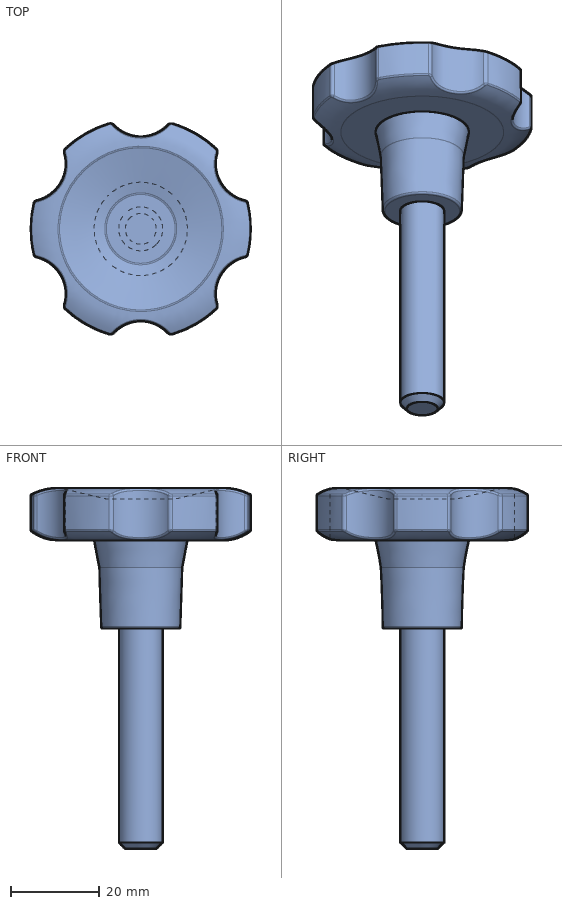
import cadquery as cq
import math


full_turn = 360.0

stud_diameter = 10.0
stud_length = 50.0
stud_chamfer = 1.5

hub_height = 20.0
hub_bottom_radius = 9.0
hub_waist_radius = 9.45
hub_top_radius = 10.6
hub_waist_z = 13.9
hub_bottom_fillet = 0.5

head_diameter = 50.0
head_height = 12.0
crown_top_radius = 13.0
crown_bottom_radius = 10.5
crown_bottom_start = 18.5
head_edge_fillet = 0.5

lobe_count = 6
scallop_radius = 8.5
scallop_floor_distance = 21.0
scallop_corner_fillet = 1.0
first_scallop_angle = full_turn / lobe_count / 2

dish_rim_radius = 18.6
dish_floor_radius = 8.0
dish_depth = 2.5
dish_blend_radius = 1.5

head_radius = head_diameter / 2
head_bottom_z = hub_height
head_top_z = hub_height + head_height


def crown_drop(crown_radius, run):
    """Axial drop of a crown arc, tangent to a flat face, after a radial run."""
    return crown_radius - math.sqrt(crown_radius**2 - run**2)


def revolve_about_z(profile):
    """Full turn of a closed radius-height profile about the Z axis."""
    return profile.close().revolve(full_turn, (0, 0, 0), (0, 1, 0))


def make_head_blank():
    """Round head with a crowned underside, a crowned top and a conical dish."""
    dish_floor_z = head_top_z - dish_depth
    dish_slope = math.atan2(dish_depth, dish_rim_radius - dish_floor_radius)
    blend_length = dish_blend_radius * math.tan(dish_slope / 2)
    blend_run = blend_length * math.cos(dish_slope)
    blend_rise = blend_length * math.sin(dish_slope)

    crown_top_start = dish_rim_radius + blend_length
    top_run = head_radius - crown_top_start
    bottom_run = head_radius - crown_bottom_start
    top_edge_z = head_top_z - crown_drop(crown_top_radius, top_run)
    bottom_edge_z = head_bottom_z + crown_drop(crown_bottom_radius, bottom_run)

    return revolve_about_z(
        cq.Workplane("XZ")
        .moveTo(0, head_bottom_z)
        .lineTo(crown_bottom_start, head_bottom_z)
        .radiusArc((head_radius, bottom_edge_z), -crown_bottom_radius)
        .lineTo(head_radius, top_edge_z)
        .radiusArc((crown_top_start, head_top_z), -crown_top_radius)
        .radiusArc((dish_rim_radius - blend_run, head_top_z - blend_rise), -dish_blend_radius)
        .lineTo(dish_floor_radius + blend_run, dish_floor_z + blend_rise)
        .radiusArc((dish_floor_radius - blend_length, dish_floor_z), dish_blend_radius)
        .lineTo(0, dish_floor_z)
    )


def cut_scallops(head):
    """Cut the finger scallops, then round the lobe corners and the side wall edges."""
    scallops = (
        cq.Workplane("XY", origin=(0, 0, head_bottom_z))
        .polarArray(scallop_floor_distance + scallop_radius, first_scallop_angle, full_turn, lobe_count)
        .circle(scallop_radius)
        .extrude(head_height)
    )
    lobed_head = head.cut(scallops)
    lobed_head = lobed_head.edges("|Z and (not >X)").fillet(scallop_corner_fillet)
    return lobed_head.faces("%CYLINDER").edges("not |Z").fillet(head_edge_fillet)


def make_hub():
    """Hub of two stacked cones, the upper one flaring up to the head."""
    hub = revolve_about_z(
        cq.Workplane("XZ")
        .lineTo(hub_bottom_radius, 0)
        .lineTo(hub_waist_radius, hub_waist_z)
        .lineTo(hub_top_radius, hub_height)
        .lineTo(0, hub_height)
    )
    return hub.faces("<Z").edges().fillet(hub_bottom_fillet)


def make_stud():
    """Plain cylindrical stud with a chamfered tip."""
    stud = cq.Workplane("XY").circle(stud_diameter / 2).extrude(-stud_length)
    return stud.faces("<Z").edges().chamfer(stud_chamfer)


head = cut_scallops(make_head_blank())
result = head.union(make_hub()).union(make_stud())